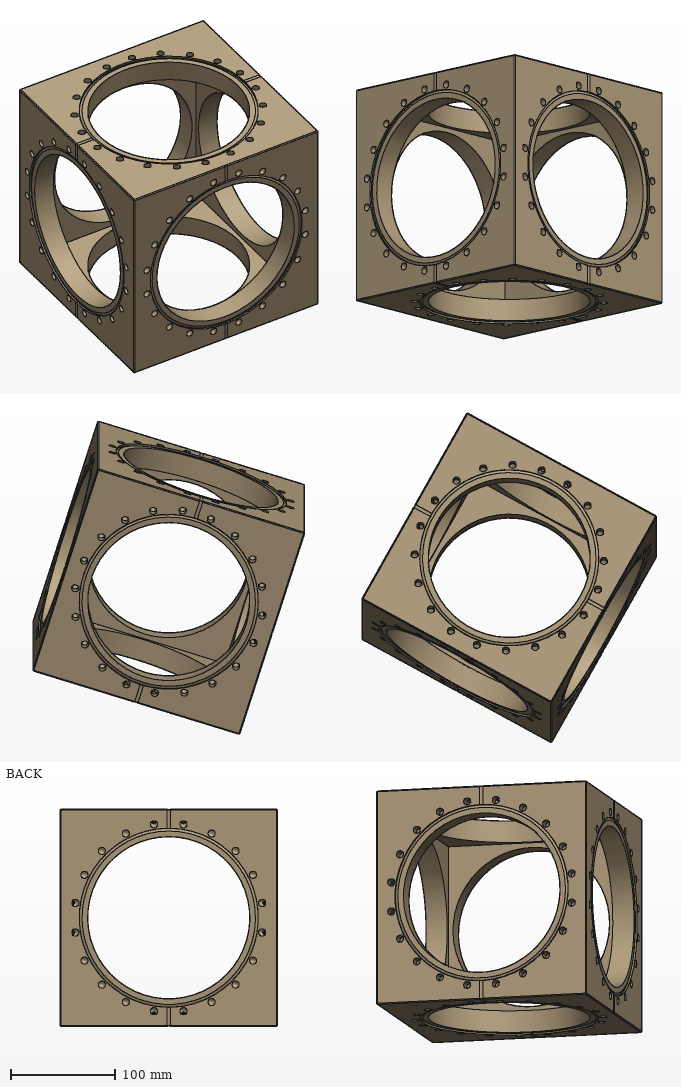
import cadquery as cq
import math

cube_size = 208.0
half_size = cube_size / 2
edge_chamfer = 1.0

wall_thickness = 22.0
cavity_size = cube_size - 2 * wall_thickness
bore_diameter = 155.0

seat_diameter = 171.4
knife_diameter = 166.0
knife_depth = 1.0
knife_slope_angle = 20.0
knife_slope_width = (seat_diameter - knife_diameter) / 2
seat_depth = knife_depth + knife_slope_width * math.tan(math.radians(knife_slope_angle))

bolt_count = 20
bolt_circle_diameter = 181.0
bolt_hole_diameter = 6.8
bolt_hole_depth = 12.0
drill_point_angle = 118.0
bolt_pitch = 360.0 / bolt_count

groove_tool_radius = 3.0
groove_depth = 0.5

ports = [
    ((1, 0, 0), (0, 0, 1)),
    ((-1, 0, 0), (0, 0, 1)),
    ((0, 1, 0), (0, 0, 1)),
    ((0, -1, 0), (0, 0, 1)),
    ((0, 0, 1), (0, 1, 0)),
    ((0, 0, -1), (0, 1, 0)),
]


def make_body():
    """Chamfered cube with a sharp-cornered cubic cavity."""
    cube = cq.Workplane("XY").box(cube_size, cube_size, cube_size).edges().chamfer(edge_chamfer)
    cavity = cq.Workplane("XY").box(cavity_size, cavity_size, cavity_size)
    return cube.cut(cavity)


def make_bore_and_seat():
    """Bore, knife-edge cone and seat wall, revolved about local Z with the port face at Z = 0."""
    bore_radius = bore_diameter / 2
    knife_radius = knife_diameter / 2
    seat_radius = seat_diameter / 2
    profile = [
        (0, -wall_thickness),
        (bore_radius, -wall_thickness),
        (bore_radius, -knife_depth),
        (knife_radius, -knife_depth),
        (seat_radius, -seat_depth),
        (seat_radius, 0),
        (0, 0),
    ]
    return cq.Workplane("XZ").polyline(profile).close().revolve(360, (0, 0), (0, 1))


def make_bolt_hole():
    """One drilled hole along local Z with its mouth at Z = 0."""
    hole_radius = bolt_hole_diameter / 2
    point_depth = hole_radius / math.tan(math.radians(drill_point_angle / 2))
    profile = [
        (0, 0),
        (hole_radius, 0),
        (hole_radius, -bolt_hole_depth),
        (0, -bolt_hole_depth - point_depth),
    ]
    return cq.Workplane("XZ").polyline(profile).close().revolve(360, (0, 0), (0, 1))


def make_bolt_holes():
    """Ring of bolt holes that straddles the local X and Y axes."""
    bolt_hole = make_bolt_hole().translate((bolt_circle_diameter / 2, 0, 0))
    holes = []
    for index in range(bolt_count):
        angle = (index + 0.5) * bolt_pitch
        holes.append(bolt_hole.rotate((0, 0, 0), (0, 0, 1), angle).val())
    return holes


def make_leak_grooves():
    """Round groove cutters along local X, one on each side of the seat."""
    tool_centre_height = groove_tool_radius - groove_depth
    tool = (
        cq.Workplane("YZ")
        .center(0, tool_centre_height)
        .circle(groove_tool_radius)
        .extrude(half_size, both=True)
    )
    seat_clearance = cq.Workplane("XY").circle(seat_diameter / 2).extrude(2 * groove_tool_radius, both=True)
    return tool.cut(seat_clearance)


def place_on_port(shape, outward, groove_direction):
    """Move a local shape onto the cube face that points outward."""
    origin = tuple(half_size * component for component in outward)
    plane = cq.Plane(origin=origin, xDir=groove_direction, normal=outward)
    return shape.moved(cq.Location(plane))


def cut_ports(body):
    """Cut the bore, seat and bolt holes of every port."""
    cutters = [make_bore_and_seat().val(), *make_bolt_holes()]
    for outward, groove_direction in ports:
        for cutter in cutters:
            body = body.cut(cq.Workplane(place_on_port(cutter, outward, groove_direction)))
    return body


def cut_leak_grooves(body):
    """Cut the leak grooves without disturbing the knife edges."""
    grooves = make_leak_grooves().val()
    for outward, groove_direction in ports:
        body = body.cut(cq.Workplane(place_on_port(grooves, outward, groove_direction)))
    return body


result = cut_leak_grooves(cut_ports(make_body()))